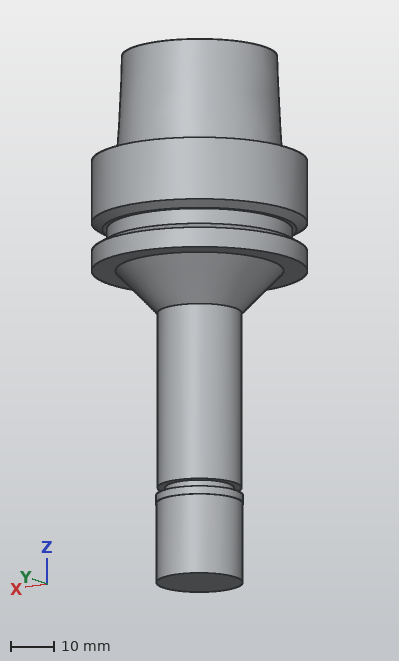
import cadquery as cq

total_length = 125.0
flange_diameter = 50.0

taper_tip_diameter = 36.0
taper_base_diameter = 38.2
taper_length = 23.0
shank_length = 25.0

flange_height = 26.0
groove_diameter = 43.0
groove_mouth_height = 1.5
groove_ledge_diameter = 45.0
upper_rim_height = 14.6
lower_rim_height = 4.6

neck_diameter = 19.5
cone_top_diameter = 39.0
cone_height = 10.0

head_diameter = 20.0
collar_diameter = 20.2
undercut_diameter = 16.0
head_height = 18.8
collar_height = 1.9
undercut_height = 1.9

flange_top = total_length - shank_length
flange_bottom = flange_top - flange_height
cone_bottom = flange_bottom - cone_height
collar_top = head_height + collar_height
undercut_top = collar_top + undercut_height
upper_rim_bottom = flange_top - upper_rim_height
lower_rim_top = flange_bottom + lower_rim_height
groove_top = upper_rim_bottom - groove_mouth_height
groove_bottom = lower_rim_top + groove_mouth_height

section = [
    (head_diameter, 0),
    (head_diameter, head_height),
    (collar_diameter, head_height),
    (collar_diameter, collar_top),
    (undercut_diameter, collar_top),
    (undercut_diameter, undercut_top),
    (neck_diameter, undercut_top),
    (neck_diameter, cone_bottom),
    (cone_top_diameter, flange_bottom),
    (flange_diameter, flange_bottom),
    (flange_diameter, lower_rim_top),
    (groove_ledge_diameter, groove_bottom),
    (groove_diameter, groove_bottom),
    (groove_diameter, groove_top),
    (groove_ledge_diameter, groove_top),
    (flange_diameter, upper_rim_bottom),
    (flange_diameter, flange_top),
    (taper_base_diameter, flange_top),
    (taper_base_diameter, total_length - taper_length),
    (taper_tip_diameter, total_length),
]

profile = cq.Workplane("XZ").moveTo(0, 0)
for diameter, height in section:
    profile = profile.lineTo(diameter / 2, height)
profile = profile.lineTo(0, total_length).close()

result = profile.revolve(360, (0, 0, 0), (0, 1, 0))